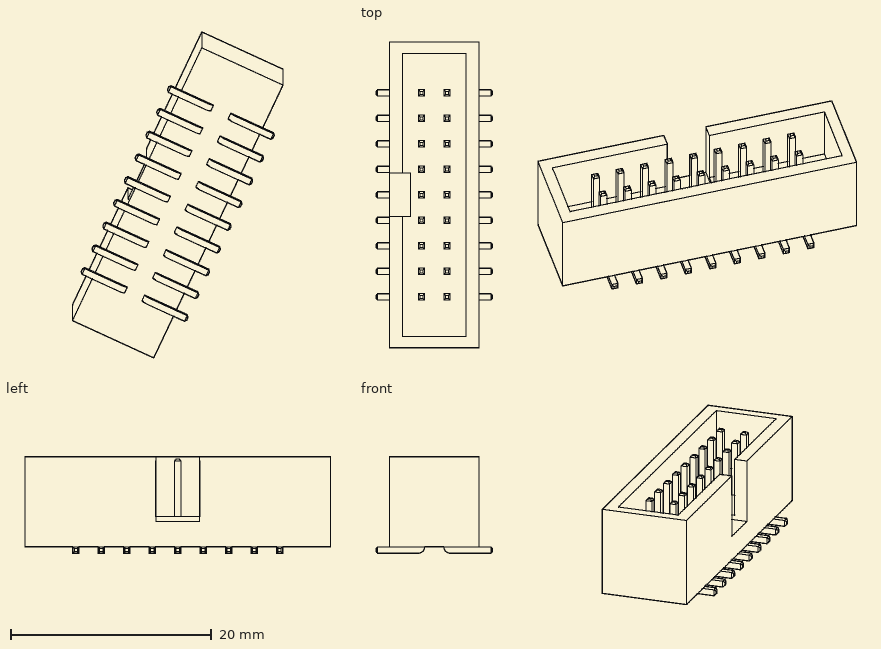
import cadquery as cq


PITCH = 2.54
PINS_PER_ROW = 9
WIRE = 0.64
TIP_CHAMFER = 0.17
LEG_SPAN = 11.6
PIN_TOP_GAP = 0.26

HOUSING_WIDTH = 8.94
HOUSING_LENGTH = 30.48
HOUSING_HEIGHT = 9.0
CAVITY_WIDTH = 6.36
CAVITY_LENGTH = 28.2
CAVITY_DEPTH = 5.97

NOTCH_WIDTH = 4.34
NOTCH_DEPTH = 6.46
NOTCH_REACH = 2.12

HOUSING_BOTTOM = WIRE
HOUSING_TOP = HOUSING_BOTTOM + HOUSING_HEIGHT
PIN_TOP = HOUSING_TOP - PIN_TOP_GAP
ROW_X = PITCH / 2


def make_housing():
    """Open-topped box with a polarising notch cut slightly below the cavity floor."""
    housing = cq.Workplane("XY", origin=(0, 0, HOUSING_BOTTOM)).box(
        HOUSING_WIDTH, HOUSING_LENGTH, HOUSING_HEIGHT, centered=(True, True, False)
    )
    cavity = cq.Workplane("XY", origin=(0, 0, HOUSING_TOP - CAVITY_DEPTH)).box(
        CAVITY_WIDTH, CAVITY_LENGTH, CAVITY_DEPTH, centered=(True, True, False)
    )
    notch = cq.Workplane("XY", origin=(-HOUSING_WIDTH / 2, 0, HOUSING_TOP - NOTCH_DEPTH)).box(
        NOTCH_REACH, NOTCH_WIDTH, NOTCH_DEPTH, centered=(False, True, False)
    )
    return housing.cut(cavity).cut(notch)


def make_contact():
    """L-shaped square wire of the -X row at Y = 0: upright pin, rounded heel, outward leg."""
    pin_inner = -ROW_X + WIRE / 2
    pin_outer = -ROW_X - WIRE / 2
    leg_end = -LEG_SPAN / 2
    wire = (
        cq.Workplane("XZ", origin=(0, WIRE / 2, 0))
        .moveTo(leg_end, 0)
        .lineTo(pin_outer, 0)
        .radiusArc((pin_inner, WIRE), -WIRE)
        .lineTo(pin_inner, PIN_TOP)
        .lineTo(pin_outer, PIN_TOP)
        .lineTo(pin_outer, WIRE)
        .lineTo(leg_end, WIRE)
        .close()
        .extrude(WIRE)
    )
    return wire.faces(">Z or <X").edges().chamfer(TIP_CHAMFER)


def add_contacts(housing):
    """Fuse both rows of contacts into the housing; the +X row mirrors the -X row."""
    contact = make_contact()
    row_pair = (contact, contact.mirror("YZ"))
    first_y = -(PINS_PER_ROW - 1) * PITCH / 2
    body = housing
    for index in range(PINS_PER_ROW):
        for single in row_pair:
            body = body.union(single.translate((0, first_y + index * PITCH, 0)))
    return body


result = add_contacts(make_housing())